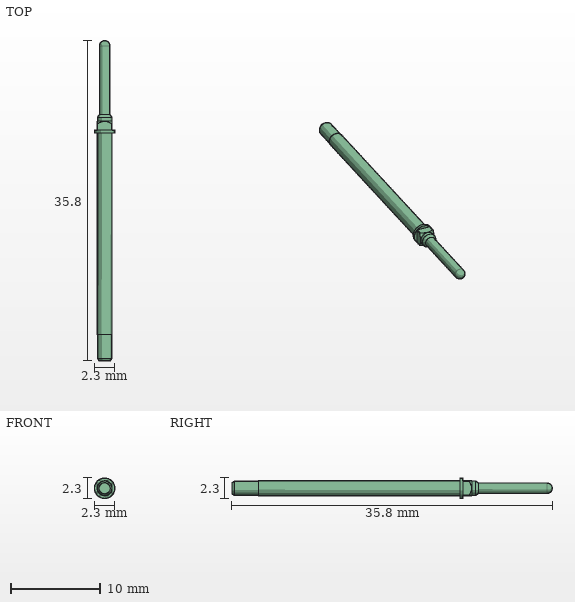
import cadquery as cq
import math

total_length = 35.8

pin_diameter = 1.18
neck_diameter = 1.65
body_diameter = 1.7
rear_diameter = 1.6
flange_diameter = 2.3
square_width = body_diameter
rear_chamfer_depth = 0.18

flange_thickness = 0.32
square_length = 1.0
cone_length = 0.3
neck_length = 0.43
taper_length = 0.32
pin_length = 7.65
rear_section_length = 2.95
rear_chamfer_length = 0.3

pin_radius = pin_diameter / 2
neck_radius = neck_diameter / 2
body_radius = body_diameter / 2
rear_radius = rear_diameter / 2
flange_radius = flange_diameter / 2

neck_start = flange_thickness + square_length
neck_end = neck_start + neck_length
pin_start = neck_end + taper_length
dome_start = pin_start + pin_length
tip_end = dome_start + pin_radius
rear_end = tip_end - total_length
rear_step = rear_end + rear_section_length


def turn(half_outline):
    """Revolve a closed half outline about the Y axis."""
    return half_outline.revolve(360, (0, 0), (0, 1))


def turned_pin():
    """Body with thinner rear end, flange, neck, taper, pin and hemispherical tip."""
    dome_mid = pin_radius * math.sqrt(0.5)
    return turn(
        cq.Workplane("XY")
        .moveTo(0, rear_end)
        .lineTo(rear_radius - rear_chamfer_depth, rear_end)
        .lineTo(rear_radius, rear_end + rear_chamfer_length)
        .lineTo(rear_radius, rear_step)
        .lineTo(body_radius, rear_step)
        .lineTo(body_radius, 0)
        .lineTo(flange_radius, 0)
        .lineTo(flange_radius, flange_thickness)
        .lineTo(neck_radius, flange_thickness)
        .lineTo(neck_radius, neck_end)
        .lineTo(pin_radius, pin_start)
        .lineTo(pin_radius, dome_start)
        .threePointArc((dome_mid, dome_start + dome_mid), (0, tip_end))
        .close()
    )


def square_collar():
    """Square section ahead of the flange, its corners trimmed by a cylinder and a cone."""
    square = cq.Workplane("XY").box(square_width, square_length, square_width)
    square = square.translate((0, flange_thickness + square_length / 2, 0))
    envelope = turn(
        cq.Workplane("XY")
        .moveTo(0, flange_thickness)
        .lineTo(flange_radius, flange_thickness)
        .lineTo(flange_radius, neck_start - cone_length)
        .lineTo(neck_radius, neck_start)
        .lineTo(0, neck_start)
        .close()
    )
    return square.intersect(envelope)


result = turned_pin().union(square_collar())